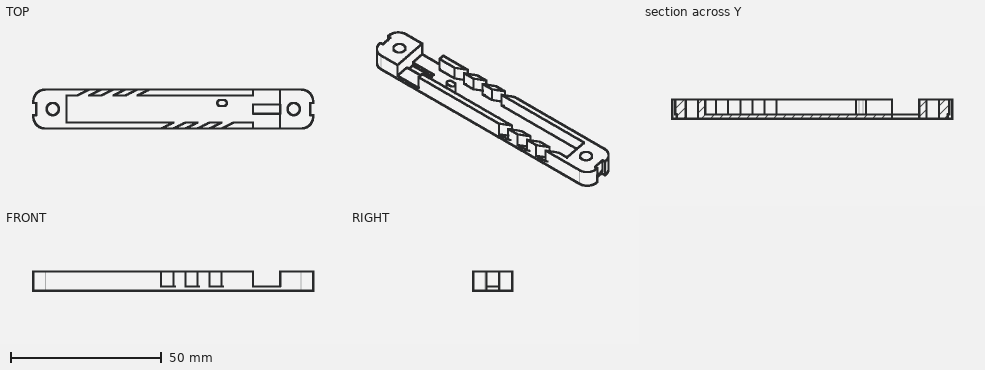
import cadquery as cq

LENGTH = 93.0
WIDTH = 13.0
FLOOR = 1.48
WALL_HEIGHT = 5.0
HEIGHT = FLOOR + WALL_HEIGHT
CORNER_RADIUS = 4.0

END_BLOCK_LENGTH = 11.0
HOLE_DIAMETER = 4.0
HOLE_X = 40.0
NOTCH_WIDTH = 4.0
NOTCH_DEPTH = 1.0
LOWER_NOTCH_DEPTH = 1.5

SIDE_WALL = 2.0
TRAY_END_X = LENGTH / 2 - END_BLOCK_LENGTH
GAP_LENGTH = 9.0
GAP_START_X = TRAY_END_X - GAP_LENGTH
WINDOW_WIDTH = 3.0

VENT_WIDTH = 4.0
VENT_PITCH = 8.0
VENT_COUNT = 3
VENT_LEAN = VENT_WIDTH
FRONT_VENT_X = -4.0
BACK_VENT_X = -27.9

PIN_X = 16.2
PIN_Y = 2.0
PIN_LENGTH = 3.2
PIN_WIDTH = 2.0


def box_between(x_start, x_end, width, z_start, z_end):
    """Box between two X and two Z positions, centred on Y = 0."""
    return (
        cq.Workplane("XY", origin=(x_start, 0, z_start))
        .rect(x_end - x_start, width)
        .extrude(z_end - z_start)
        .translate(((x_end - x_start) / 2, 0, 0))
    )


def make_notches(depth, z_start, z_end):
    """Pair of notches, one in the middle of each end face."""
    return (
        cq.Workplane("XY", origin=(0, 0, z_start))
        .pushPoints([(-LENGTH / 2, 0), (LENGTH / 2, 0)])
        .rect(2 * depth, NOTCH_WIDTH)
        .extrude(z_end - z_start)
    )


def make_body():
    """Solid bar with rounded corners, end notches and a hole in each end."""
    body = cq.Workplane("XY").rect(LENGTH, WIDTH).extrude(HEIGHT)
    body = body.edges("|Z").fillet(CORNER_RADIUS)
    holes = (
        cq.Workplane("XY")
        .pushPoints([(-HOLE_X, 0), (HOLE_X, 0)])
        .circle(HOLE_DIAMETER / 2)
        .extrude(HEIGHT)
    )
    lower_notches = make_notches(LOWER_NOTCH_DEPTH, 0, FLOOR)
    upper_notches = make_notches(NOTCH_DEPTH, FLOOR, HEIGHT)
    return body.cut(holes).cut(lower_notches).cut(upper_notches)


def make_tray():
    """Volume removed for the tray, the full-width gap and the floor window."""
    pocket = box_between(-TRAY_END_X, TRAY_END_X, WIDTH - 2 * SIDE_WALL, FLOOR, HEIGHT)
    gap = box_between(GAP_START_X, TRAY_END_X, WIDTH, FLOOR, HEIGHT)
    window = box_between(GAP_START_X, TRAY_END_X, WINDOW_WIDTH, 0, FLOOR)
    return pocket.union(gap).union(window)


def make_vents(first_x, side):
    """Row of slanted vents; side is -1 for the -Y wall and +1 for the +Y wall."""
    outer_y = side * WIDTH / 2
    inner_y = outer_y - side * SIDE_WALL
    inner_shift = -side * VENT_LEAN
    vents = cq.Workplane("XY", origin=(0, 0, FLOOR))
    for index in range(VENT_COUNT):
        left = first_x + index * VENT_PITCH
        right = left + VENT_WIDTH
        vents = vents.polyline(
            [
                (left, outer_y),
                (right, outer_y),
                (right + inner_shift, inner_y),
                (left + inner_shift, inner_y),
            ]
        ).close()
    return vents.extrude(WALL_HEIGHT)


def make_pin():
    """Pin with rounded ends, rooted in the floor and level with the walls."""
    return cq.Workplane("XY").center(PIN_X, PIN_Y).slot2D(PIN_LENGTH, PIN_WIDTH).extrude(HEIGHT)


result = (
    make_body()
    .cut(make_tray())
    .cut(make_vents(FRONT_VENT_X, -1))
    .cut(make_vents(BACK_VENT_X, 1))
    .union(make_pin())
)